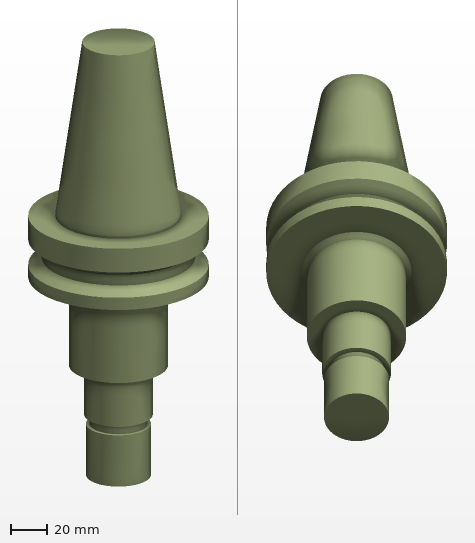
import cadquery as cq


GAUGE_DIAMETER = 69.85
TAPER_LENGTH = 101.8
TAPER_RATIO = 7 / 24
TAPER_END_DIAMETER = GAUGE_DIAMETER - TAPER_LENGTH * TAPER_RATIO

FLANGE_DIAMETER = 100.0
FLANGE_TOP_Z = -1.5
FLANGE_BOTTOM_Z = -38.0
GROOVE_DIAMETER = 85.0
GROOVE_CENTRE_Z = -23.2
GROOVE_MOUTH_WIDTH = 15.0
GROOVE_FLOOR_WIDTH = 6.4

BODY_DIAMETER = 55.0
BODY_BOTTOM_Z = -90.5
COLLAR_SIZE = 3.0

NOSE_DIAMETER = 38.1
NOSE_BOTTOM_Z = -120.0
NECK_DIAMETER = 32.0
NECK_BOTTOM_Z = -125.5
TIP_DIAMETER = 36.0
TIP_BOTTOM_Z = -156.0


def cone(top_diameter, bottom_diameter, top_z, bottom_z):
    """Solid cone frustum on the Z axis between two heights."""
    return cq.Workplane(
        obj=cq.Solid.makeCone(
            bottom_diameter / 2,
            top_diameter / 2,
            top_z - bottom_z,
            pnt=cq.Vector(0, 0, bottom_z),
        )
    )


def cylinder(diameter, top_z, bottom_z):
    """Solid cylinder on the Z axis between two heights."""
    return cq.Workplane(origin=(0, 0, bottom_z)).circle(diameter / 2).extrude(top_z - bottom_z)


def make_shank():
    """Taper with a short straight land between the gauge plane and the flange."""
    taper = cone(TAPER_END_DIAMETER, GAUGE_DIAMETER, TAPER_LENGTH, 0)
    land = cylinder(GAUGE_DIAMETER, 0, FLANGE_TOP_Z)
    return taper.union(land)


def make_flange():
    """Disc with a trapezoidal groove turned into its rim."""
    floor_radius = GROOVE_DIAMETER / 2
    rim_radius = FLANGE_DIAMETER / 2
    groove = (
        cq.Workplane("XZ")
        .moveTo(floor_radius, GROOVE_CENTRE_Z + GROOVE_FLOOR_WIDTH / 2)
        .lineTo(rim_radius, GROOVE_CENTRE_Z + GROOVE_MOUTH_WIDTH / 2)
        .lineTo(rim_radius, GROOVE_CENTRE_Z - GROOVE_MOUTH_WIDTH / 2)
        .lineTo(floor_radius, GROOVE_CENTRE_Z - GROOVE_FLOOR_WIDTH / 2)
        .close()
        .revolve(360, (0, 0), (0, 1))
    )
    return cylinder(FLANGE_DIAMETER, FLANGE_TOP_Z, FLANGE_BOTTOM_Z).cut(groove)


def make_body():
    """Straight body with a conical collar under the flange."""
    collar = cone(
        BODY_DIAMETER + 2 * COLLAR_SIZE,
        BODY_DIAMETER,
        FLANGE_BOTTOM_Z,
        FLANGE_BOTTOM_Z - COLLAR_SIZE,
    )
    return cylinder(BODY_DIAMETER, FLANGE_BOTTOM_Z, BODY_BOTTOM_Z).union(collar)


def make_nose():
    """Straight nose, narrow neck and tip."""
    nose = cylinder(NOSE_DIAMETER, BODY_BOTTOM_Z, NOSE_BOTTOM_Z)
    neck = cylinder(NECK_DIAMETER, NOSE_BOTTOM_Z, NECK_BOTTOM_Z)
    tip = cylinder(TIP_DIAMETER, NECK_BOTTOM_Z, TIP_BOTTOM_Z)
    return nose.union(neck).union(tip)


result = make_shank().union(make_flange()).union(make_body()).union(make_nose())